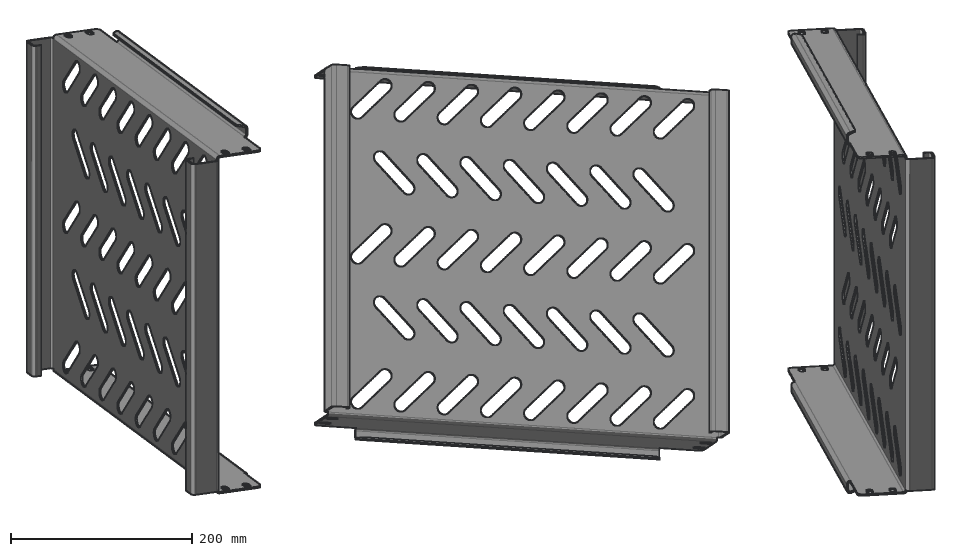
import cadquery as cq
import math

width = 460.0
height = 420.0
depth = 90.0

sheet = 2.0
bend_outer = 4.0
bend_middle = bend_outer - sheet / 2

channel_depth = 33.0
channel_width = 21.0
channel_lip = 10.0

flange_width = 450.0
flange_corner = 5.5

hook_width = 351.5
hook_rise = 13.0
hook_lip = 11.0
hook_chamfer = 7.0

vent_diameter = 14.5
vent_center_distance = 45.5
vent_length = vent_center_distance + vent_diameter
vent_angle = 45
vent_row_pitch = 82.0
vent_rows = 5
vents_in_long_row = 8
long_row_span = 350.0
vent_pitch = long_row_span / (vents_in_long_row - 1)
short_row_shift = 1.5

mount_length = 13.0
mount_diameter = 7.0
mount_x = 216.0
mount_from_back_edge = 14.5
mount_spacing = 25.8

front_y = sheet - channel_depth
back_y = front_y + depth
flange_back_y = back_y - bend_outer
flange_z = height / 2 - hook_rise
channel_height = 2 * (flange_z - bend_outer)


def direction(start, end):
    """Unit vector from start to end."""
    run = math.dist(start, end)
    return ((end[0] - start[0]) / run, (end[1] - start[1]) / run)


def left_of(point, heading, offset):
    """Point moved sideways, to the left of the heading."""
    return (point[0] - offset * heading[1], point[1] + offset * heading[0])


def trace_side(outline, path, offset):
    """Draw one face of a folded sheet, from its first bend to its end, left of its middle line."""
    for before, corner, after in zip(path, path[1:], path[2:]):
        ux, uy = direction(before, corner)
        vx, vy = direction(corner, after)
        center_x = corner[0] + bend_middle * (vx - ux)
        center_y = corner[1] + bend_middle * (vy - uy)
        turn = ux * vy - uy * vx
        radius = bend_middle - turn * offset
        diagonal = radius / math.sqrt(2)
        outline = (
            outline
            .lineTo(center_x - radius * vx, center_y - radius * vy)
            .threePointArc(
                (center_x + diagonal * (ux - vx), center_y + diagonal * (uy - vy)),
                (center_x + radius * ux, center_y + radius * uy),
            )
        )
    return outline.lineTo(*left_of(path[-1], direction(path[-2], path[-1]), offset))


def folded_sheet(plane, half_path, length):
    """Extrude a sheet that follows half_path and its mirror image across the second axis."""
    path = half_path + [(-a, b) for a, b in reversed(half_path)]
    back = path[::-1]
    half = sheet / 2
    outline = cq.Workplane(plane).moveTo(*left_of(path[0], direction(path[0], path[1]), half))
    outline = trace_side(outline, path, half)
    outline = outline.lineTo(*left_of(back[0], direction(back[0], back[1]), half))
    outline = trace_side(outline, back, half)
    return outline.close().extrude(length / 2, both=True)


def plate_with_channels():
    wall_x = width / 2 - sheet / 2
    lip_x = width / 2 - channel_width + sheet / 2
    web_y = front_y + sheet / 2
    half_path = [
        (lip_x, front_y + channel_lip),
        (lip_x, web_y),
        (wall_x, web_y),
        (wall_x, sheet / 2),
    ]
    return folded_sheet("XY", half_path, channel_height)


def plate_with_flanges():
    hook_z = height / 2 - sheet / 2
    wall_y = back_y - sheet / 2
    half_path = [
        (hook_z, back_y - hook_lip),
        (hook_z, wall_y),
        (flange_z - sheet / 2, wall_y),
        (flange_z - sheet / 2, sheet / 2),
    ]
    section = cq.Plane(origin=(0, 0, 0), xDir=(0, 0, 1), normal=(-1, 0, 0))
    body = folded_sheet(section, half_path, flange_width)
    return body.intersect(flange_blank()).union(body.intersect(hook_blank()))


def flange_blank():
    """Region of the plate and the flat flanges, with rounded back corners."""
    return (
        cq.Workplane("XY")
        .rect(flange_width, 2 * flange_back_y)
        .extrude(flange_z, both=True)
        .edges("|Z")
        .fillet(flange_corner)
    )


def hook_blank():
    """Region of both hooks, with the front corners of their lips chamfered."""
    bends = (
        cq.Workplane("XY")
        .box(hook_width, bend_outer, height, centered=(True, False, True))
        .translate((0, flange_back_y, 0))
    )
    lips = (
        cq.Workplane("XY")
        .box(hook_width, hook_lip, height, centered=(True, False, True))
        .translate((0, back_y - hook_lip, 0))
        .edges("|Z and <Y")
        .chamfer(hook_chamfer)
    )
    return bends.union(lips)


def vent_slots():
    """Rows of slots that lean alternately right and left; leftward rows have one slot fewer."""
    cutter = cq.Workplane("XZ")
    for row in range(vent_rows):
        leans_right = row % 2 == 0
        count = vents_in_long_row if leans_right else vents_in_long_row - 1
        row_x = 0 if leans_right else short_row_shift
        row_z = (row - (vent_rows - 1) / 2) * vent_row_pitch
        slots = (
            cq.Workplane("XZ", origin=(row_x, 0, row_z))
            .rarray(vent_pitch, 4.5, count, 1)
            .slot2D(vent_length, vent_diameter, vent_angle if leans_right else -vent_angle)
            .extrude(sheet, both=True)
        )
        cutter = cutter.union(slots)
    return cutter


def mounting_slots():
    """Two slots at each end of both flanges."""
    middle_y = flange_back_y - mount_from_back_edge - mount_spacing / 2
    return (
        cq.Workplane("XY", origin=(0, middle_y, 0))
        .rarray(2 * mount_x, mount_spacing, 2, 2)
        .slot2D(mount_length, mount_diameter)
        .extrude(height / 2, both=True)
    )


shell = plate_with_channels().union(plate_with_flanges())
result = shell.cut(vent_slots()).cut(mounting_slots())